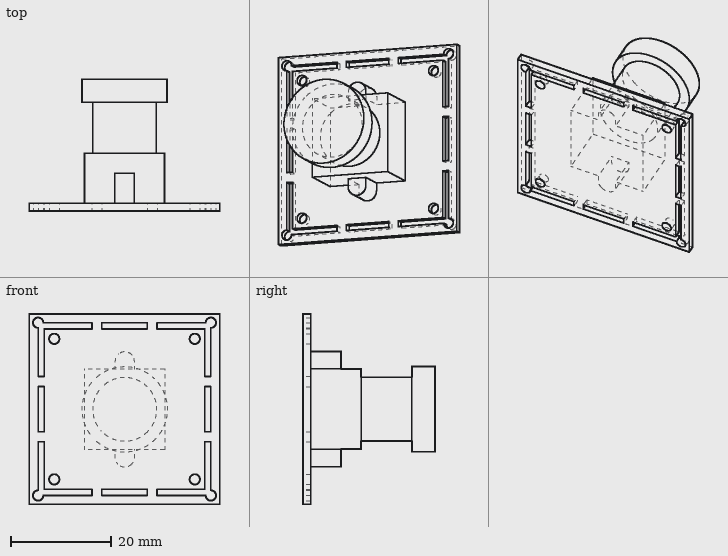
import cadquery as cq

board_side = 38.0
board_thickness = 1.6
half_side = board_side / 2

slot_margin = 1.82
slot_width = 1.18
middle_slot_length = 9.0
bridge_length = 2.0
corner_hole_margin = 1.8
corner_hole_diameter = 2.0

mounting_hole_pitch = 28.0
mounting_hole_diameter = 2.0

overall_depth = 26.35
base_side = 16.0
base_height = 10.0
ear_width = 3.8
ear_height = 6.0
ear_span = 23.0
barrel_diameter = 12.73
head_diameter = 17.02
head_length = 4.65
barrel_length = overall_depth - board_thickness - base_height - head_length


def plane_at(y):
    """Workplane facing +Y at the given depth; its local y axis is +Z."""
    return cq.Workplane(cq.Plane(origin=(0, y, 0), xDir=(-1, 0, 0), normal=(0, 1, 0)))


def side_slots():
    """Cutter for the row of three slots along the top side of the board."""
    slot_centre = half_side - slot_margin - slot_width / 2
    row_length = board_side - 2 * slot_margin
    row = plane_at(0).center(0, slot_centre).rect(row_length, slot_width).extrude(board_thickness)
    bridge_offset = (middle_slot_length + bridge_length) / 2
    bridges = (
        plane_at(0)
        .pushPoints([(-bridge_offset, slot_centre), (bridge_offset, slot_centre)])
        .rect(bridge_length, slot_width)
        .extrude(board_thickness)
    )
    return row.cut(bridges)


def hole_square(pitch, diameter):
    """Cutter for four through holes at the corners of a square."""
    return (
        plane_at(0)
        .rect(pitch, pitch, forConstruction=True)
        .vertices()
        .circle(diameter / 2)
        .extrude(board_thickness)
    )


def make_board():
    board = plane_at(0).rect(board_side, board_side).extrude(board_thickness)
    for quarter_turn in range(4):
        board = board.cut(side_slots().rotate((0, 0, 0), (0, 1, 0), 90 * quarter_turn))
    board = board.cut(hole_square(board_side - 2 * corner_hole_margin, corner_hole_diameter))
    return board.cut(hole_square(mounting_hole_pitch, mounting_hole_diameter))


def make_camera():
    base = plane_at(board_thickness).rect(base_side, base_side).extrude(base_height)
    ears = plane_at(board_thickness).slot2D(ear_span, ear_width, 90).extrude(ear_height)
    barrel_start = board_thickness + base_height
    barrel = plane_at(barrel_start).circle(barrel_diameter / 2).extrude(barrel_length)
    head = plane_at(barrel_start + barrel_length).circle(head_diameter / 2).extrude(head_length)
    return base.union(ears).union(barrel).union(head)


board = make_board()
camera = make_camera()

result = cq.Compound.makeCompound([board.val(), camera.val()])